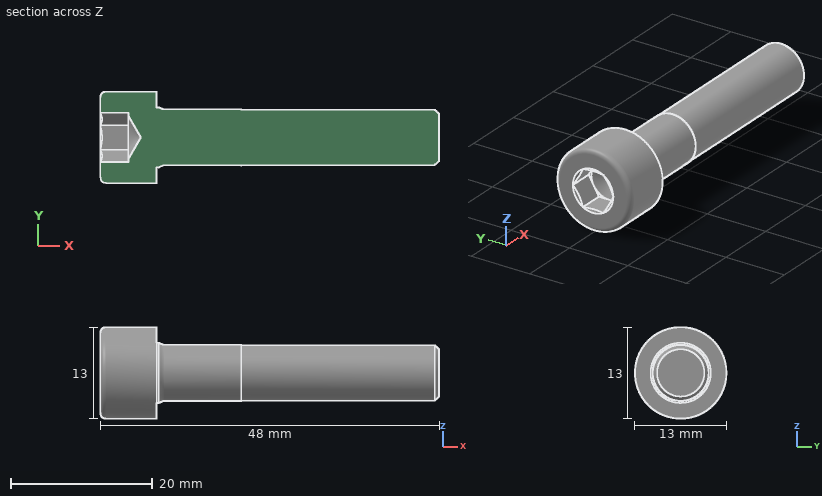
import cadquery as cq
import math


head_diameter = 13.0
head_height = 8.0
head_edge_radius = 0.8

screw_length = 40.0
thread_diameter = 7.9
thread_length = 28.0
shank_diameter = 8.0
tip_chamfer_length = 0.65
tip_chamfer_depth = 0.6

collar_diameter = 8.54
collar_length = 0.3
taper_end = 0.85
taper_end_diameter = 8.06
transition_length = 1.0

socket_width = 6.0
socket_depth = 4.0
floor_cone_angle = 120.0
mouth_cone_angle = 120.0

head_radius = head_diameter / 2
thread_radius = thread_diameter / 2
shank_radius = shank_diameter / 2
collar_radius = collar_diameter / 2
taper_end_radius = taper_end_diameter / 2
head_top = -head_height
thread_start = screw_length - thread_length
socket_corner_radius = socket_width / math.sqrt(3)


def cone_along_x(base_x, base_radius, full_angle):
    """Solid cone on the X axis, its base at base_x and its apex towards +X."""
    height = base_radius / math.tan(math.radians(full_angle / 2))
    return (
        cq.Workplane("XY")
        .moveTo(base_x, 0)
        .lineTo(base_x, base_radius)
        .lineTo(base_x + height, 0)
        .close()
        .revolve(360, (0, 0, 0), (1, 0, 0))
    )


def make_body():
    """Head, transition, shank and thread revolved as one profile."""
    rounding_offset = head_edge_radius * (1 - math.sqrt(0.5))
    return (
        cq.Workplane("XY")
        .moveTo(head_top, 0)
        .lineTo(head_top, head_radius - head_edge_radius)
        .threePointArc(
            (head_top + rounding_offset, head_radius - rounding_offset),
            (head_top + head_edge_radius, head_radius),
        )
        .lineTo(0, head_radius)
        .lineTo(0, collar_radius)
        .lineTo(collar_length, collar_radius)
        .lineTo(taper_end, taper_end_radius)
        .lineTo(transition_length, shank_radius)
        .lineTo(thread_start, shank_radius)
        .lineTo(thread_start, thread_radius)
        .lineTo(screw_length - tip_chamfer_length, thread_radius)
        .lineTo(screw_length, thread_radius - tip_chamfer_depth)
        .lineTo(screw_length, 0)
        .close()
        .revolve(360, (0, 0, 0), (1, 0, 0))
    )


def make_socket():
    """Hexagonal socket, two flats facing Z, with floor cone and mouth countersink."""
    hexagon = (
        cq.Workplane("YZ", origin=(head_top, 0, 0))
        .polygon(6, 2 * socket_corner_radius)
        .extrude(socket_depth)
    )
    floor_cone = cone_along_x(head_top + socket_depth, socket_width / 2, floor_cone_angle)
    mouth_cone = cone_along_x(head_top, socket_corner_radius, mouth_cone_angle)
    return hexagon.union(floor_cone).union(mouth_cone)


result = make_body().cut(make_socket())